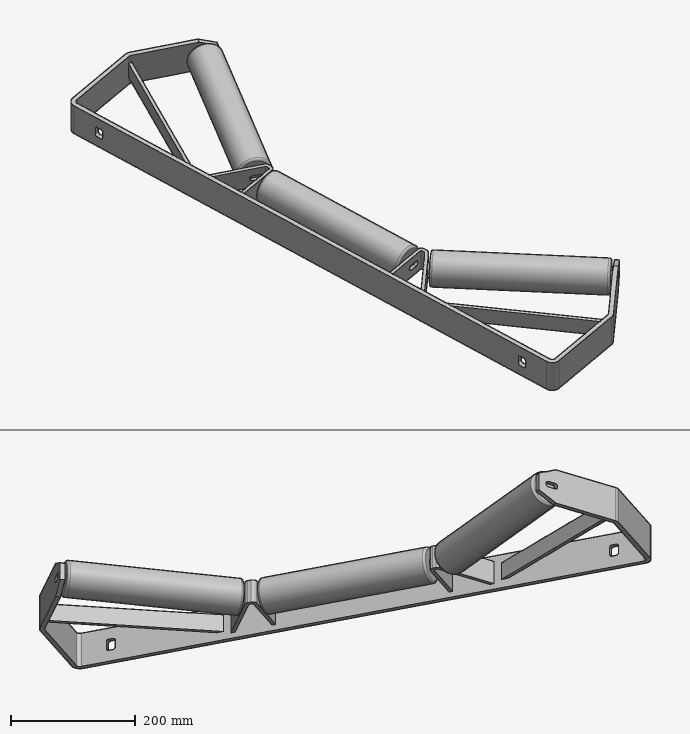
import cadquery as cq
import math

FRAME_LENGTH = 1000.0
FRAME_WIDTH = 60.0
FRAME_THICKNESS = 8.0
BRACKET_THICKNESS = 6.0
BRACKET_WIDTH = 40.0
BRACE_THICKNESS = 6.0
BRACE_WIDTH = 30.0
TILT = 35.0
ARM_LENGTH = 150.0
FRAME_HEIGHT = 275.08
FRAME_BEND_RADIUS = 14.0

TIP_CHAMFER_LENGTH = 32.0
TIP_CHAMFER_WIDTH = 15.0

CUT_DEPTH = 2 * FRAME_THICKNESS
AXLE_SLOT_LENGTH = 22.0
AXLE_SLOT_WIDTH = 10.0
TIP_TO_AXLE = 24.5
MOUNT_HOLE_HEIGHT = 20.0
MOUNT_HOLE_WIDTH = 15.0
MOUNT_HOLE_CORNER_RADIUS = 4.0
MOUNT_HOLE_SPACING = 870.0

CENTRE_SPAN = 300.0
WING_SPAN = 298.0
ROLLER_LENGTH = 290.0
ROLLER_DIAMETER = 60.0
ROLLER_EDGE_RADIUS = 4.0
AXLE_DIAMETER = 20.0
CENTRE_AXLE_HEIGHT = 70.0

BRACKET_HEIGHT = 95.0
BRACKET_BEND_RADIUS = 7.0

BRACE_ANGLE = 30.0
BRACE_RISE = 1.0


tilt = math.radians(TILT)
arm_direction = cq.Vector(math.sin(tilt), math.cos(tilt), 0)
axle_direction = cq.Vector(math.cos(tilt), -math.sin(tilt), 0)
x_direction = cq.Vector(1, 0, 0)

half_length = FRAME_LENGTH / 2
arm_bend = cq.Vector(-half_length, FRAME_HEIGHT - ARM_LENGTH * math.cos(tilt), 0)
arm_tip = arm_bend + arm_direction * ARM_LENGTH

wing_seat = arm_tip - arm_direction * TIP_TO_AXLE + axle_direction * FRAME_THICKNESS
inner_wing_seat = wing_seat + axle_direction * WING_SPAN
centre_seat = cq.Vector(-CENTRE_SPAN / 2, CENTRE_AXLE_HEIGHT, 0)


def mirrored(body):
    """The same body on the other side of the frame."""
    return body.mirror("YZ")


def bent_strip(points, width, thickness, outer_radius):
    """A strip bent along its outer face; the material lies to the left of the path."""
    directions = [(end - start).normalized() for start, end in zip(points, points[1:])]
    normals = [cq.Vector(-d.y, d.x, 0) for d in directions]
    inner_points = [points[0] + normals[0] * thickness]
    for corner, before, after in zip(points[1:], normals, normals[1:]):
        inner_points.append(corner + (before + after) * (thickness / (1 + before.dot(after))))
    inner_points.append(points[-1] + normals[-1] * thickness)

    outline = [(p.x, p.y) for p in points + inner_points[::-1]]
    strip = (
        cq.Workplane("XY").workplane(offset=-width / 2)
        .polyline(outline).close().extrude(width)
    )
    for outer, inner in zip(points[1:-1], inner_points[1:-1]):
        for corner, radius in ((outer, outer_radius), (inner, outer_radius - thickness)):
            nearest = cq.selectors.NearestToPointSelector(corner.toTuple())
            strip = strip.edges(nearest).fillet(radius)
    return strip


def mount_hole():
    """The upright rectangular hole with rounded corners near the left end of the base."""
    return (
        cq.Workplane("XY").box(MOUNT_HOLE_WIDTH, 2 * CUT_DEPTH, MOUNT_HOLE_HEIGHT)
        .edges("|Y").fillet(MOUNT_HOLE_CORNER_RADIUS)
        .translate((-MOUNT_HOLE_SPACING / 2, 0, 0))
    )


def axle_slot(seat, axis):
    """A slot through the strip at an axle seat, running lengthwise along the strip."""
    along_strip = axis.cross(cq.Vector(0, 0, 1))
    plane = cq.Plane(origin=seat.toTuple(), xDir=along_strip.toTuple(), normal=axis.toTuple())
    slot = cq.Workplane(plane).slot2D(AXLE_SLOT_LENGTH, AXLE_SLOT_WIDTH)
    return slot.extrude(CUT_DEPTH, both=True)


def tip_corners():
    """The two corners that are cut off the tip of the left arm."""
    plane = cq.Plane(
        origin=arm_tip.toTuple(), xDir=arm_direction.toTuple(), normal=axle_direction.toTuple()
    )
    edge = FRAME_WIDTH / 2
    corner = (
        cq.Workplane(plane)
        .polyline([(0, edge), (-TIP_CHAMFER_LENGTH, edge), (0, edge - TIP_CHAMFER_WIDTH)])
        .close().extrude(CUT_DEPTH, both=True)
    )
    return corner.union(corner.mirror("XY"))


def make_frame():
    """The base with its upright sides and its two arms, bent from one strip."""
    left_half = [arm_tip, arm_bend, cq.Vector(-half_length, 0, 0)]
    right_half = [cq.Vector(-point.x, point.y, 0) for point in reversed(left_half)]
    frame = bent_strip(
        left_half + right_half,
        FRAME_WIDTH, FRAME_THICKNESS, FRAME_BEND_RADIUS,
    )
    for cutter in (tip_corners(), axle_slot(wing_seat, axle_direction), mount_hole()):
        frame = frame.cut(cutter).cut(mirrored(cutter))
    return frame


def make_bracket():
    """The left bracket, standing on the base between the wing roller and the centre roller."""
    def along_leg(height):
        return inner_wing_seat + arm_direction * ((height - inner_wing_seat.y) / arm_direction.y)

    base = FRAME_THICKNESS
    seat_x = centre_seat.x
    bracket = bent_strip(
        [cq.Vector(seat_x, base, 0), cq.Vector(seat_x, BRACKET_HEIGHT, 0),
         along_leg(BRACKET_HEIGHT), along_leg(base - BRACKET_THICKNESS)],
        BRACKET_WIDTH, BRACKET_THICKNESS, BRACKET_BEND_RADIUS,
    )
    below_base = cq.Workplane("XY").box(FRAME_LENGTH, 2 * base, FRAME_WIDTH)
    bracket = bracket.cut(below_base)
    bracket = bracket.cut(axle_slot(inner_wing_seat, axle_direction))
    return bracket.cut(axle_slot(centre_seat, x_direction))


def make_brace(frame):
    """The left brace, from the side wall at the arm bend down to the base, trimmed to the bend."""
    slope = math.tan(math.radians(BRACE_ANGLE))
    vertical_thickness = BRACE_THICKNESS / math.cos(math.radians(BRACE_ANGLE))
    wall_x = -half_length + FRAME_THICKNESS
    top = arm_bend.y + BRACE_RISE
    bottom = top - vertical_thickness
    base = FRAME_THICKNESS
    bar = (
        cq.Workplane("XY").workplane(offset=-BRACE_WIDTH / 2)
        .polyline([
            (wall_x, top), (wall_x, bottom),
            (wall_x + (bottom - base) / slope, base), (wall_x + (top - base) / slope, base),
        ])
        .close().extrude(BRACE_WIDTH)
    )
    return bar.cut(frame)


def make_roller(seat, axis, span):
    """A roller with its axle, reaching from one seat to the strip opposite."""
    plane = cq.Plane(origin=seat.toTuple(), xDir=(0, 0, 1), normal=axis.toTuple())
    shell = (
        cq.Workplane(plane).workplane(offset=(span - ROLLER_LENGTH) / 2)
        .circle(ROLLER_DIAMETER / 2).extrude(ROLLER_LENGTH)
        .edges().fillet(ROLLER_EDGE_RADIUS)
    )
    axle = cq.Workplane(plane).circle(AXLE_DIAMETER / 2).extrude(span)
    return shell.union(axle)


frame = make_frame()
bracket = make_bracket()
brace = make_brace(frame)
centre_roller = make_roller(centre_seat, x_direction, CENTRE_SPAN)
wing_roller = make_roller(wing_seat, axle_direction, WING_SPAN)

bodies = [frame, centre_roller]
for body in (bracket, brace, wing_roller):
    bodies += [body, mirrored(body)]

result = cq.Compound.makeCompound([body.val() for body in bodies])